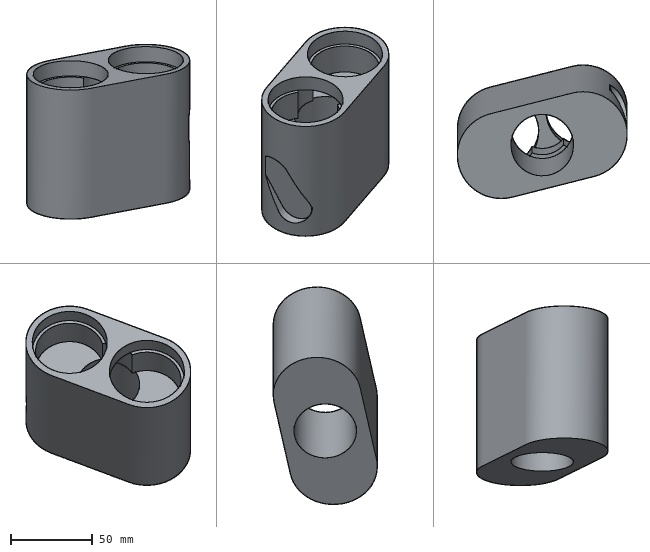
import cadquery as cq
import math

length = 106.0
width = 54.0
height = 85.0
tube_spacing = length - width

mouth_diameter = 46.0
mouth_depth = 10.0
bore_diameter = 42.0
floor_z = 55.0

passage_diameter = 33.7
bottom_hole_diameter = 38.4

slot_width = 22.0
slot_travel = 25.4
slot_angle = 60.0
slot_low_x = -4.7
slot_low_z = 20.6

ledge_z = height - mouth_depth


def vertical_cylinder(diameter, bottom, top, y=0.0):
    return cq.Workplane("XY", origin=(0, y, bottom)).circle(diameter / 2).extrude(top - bottom)


def stepped_bore(y):
    bore = vertical_cylinder(bore_diameter, floor_z, height, y)
    mouth = vertical_cylinder(mouth_diameter, ledge_z, height, y)
    return bore.union(mouth)


def central_passage():
    upper = vertical_cylinder(passage_diameter, floor_z, ledge_z)
    lower = vertical_cylinder(bottom_hole_diameter, 0, floor_z)
    return upper.union(lower)


def end_slot():
    angle = math.radians(slot_angle)
    center_x = slot_low_x + slot_travel / 2 * math.cos(angle)
    center_z = slot_low_z + slot_travel / 2 * math.sin(angle)
    back_y = (tube_spacing + bore_diameter) / 2
    return (
        cq.Workplane("XZ", origin=(center_x, back_y, center_z))
        .slot2D(slot_travel + slot_width, slot_width, slot_angle)
        .extrude(back_y - length / 2)
    )


result = cq.Workplane("XY").slot2D(length, width, 90).extrude(height)
for side in (-1, 1):
    result = result.cut(stepped_bore(side * tube_spacing / 2))
result = result.cut(central_passage()).cut(end_slot())